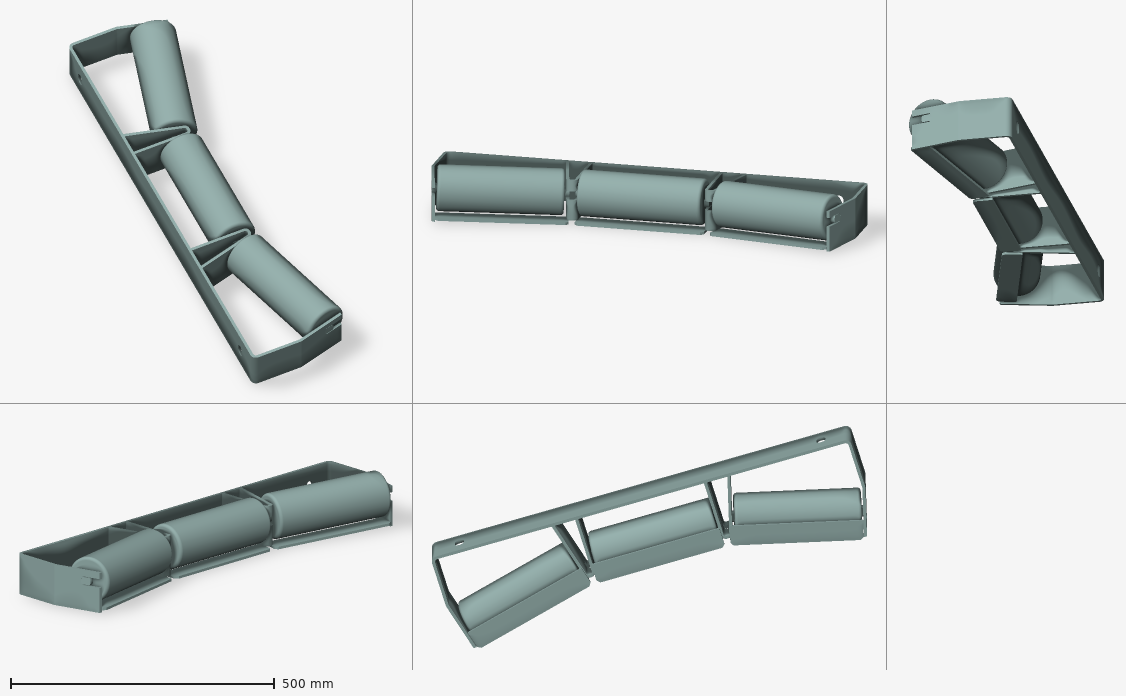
import cadquery as cq
import math

frame_length = 830.0
strip_height = 80.0
sheet = 6.0
frame_bend_radius = 12.0
arm_tip_y = 197.5
trough_angle = 15.0

arm_gap = 249.0
roller_length = 241.5
roller_radius = 44.4
roller_end_fillet = 6.0
axle_radius = 11.0
axle_flats = 14.0

centre_axis_y = 100.0
axis_height = 49.0
outer_axis_rise = 9.0
pivot_x = 151.0
pivot_y = 102.0

bracket_top_y = 125.0
bracket_bend_radius = 10.0
slot_width = 17.5

plate_thickness = 5.0
plate_width = 39.0
plate_overhang = 2.1
plate_chamfer = 6.0
outer_plate_shift = 4.0

mount_slot_x = 358.0
mount_slot_width = 17.5
mount_slot_height = 25.0

angle = math.radians(trough_angle)
toe_angle = math.degrees(math.asin(outer_axis_rise / arm_gap))
slant_sheet = sheet / math.cos(angle)
axle_length = arm_gap + 2 * sheet
frame_end = frame_length / 2
outer_arm_inner_x = pivot_x + arm_gap * math.cos(angle)
outer_arm_axis_y = pivot_y + arm_gap * math.sin(angle)


def outer_arm_x(y):
    """Outer face of the slanted end arm of the frame."""
    return outer_arm_inner_x + slant_sheet - (y - outer_arm_axis_y) * math.tan(angle)


def bracket_arm_x(y):
    """Roller side of the slanted bracket arm."""
    return pivot_x - (y - pivot_y) * math.tan(angle)


def nearest(point):
    return cq.selectors.NearestToPointSelector(point)


def mirrored(body):
    return body.mirror("YZ")


def place_centre(body):
    return body.translate((0, centre_axis_y, axis_height))


def place_right(body):
    """Move a body built along X about the origin onto the axis of the right-hand outer roller."""
    inner_end_at_origin = body.translate((arm_gap / 2, 0, 0))
    raised = inner_end_at_origin.rotate((0, 0, 0), (0, 1, 0), -toe_angle)
    turned = raised.rotate((0, 0, 0), (0, 0, 1), trough_angle)
    return turned.translate((pivot_x, pivot_y, axis_height))


def place_left(body):
    return mirrored(place_right(body))


stations = [place_left, place_centre, place_right]


def x_cylinder(radius, length):
    """Cylinder along X, centred on the origin."""
    return cq.Workplane("YZ", origin=(-length / 2, 0, 0)).circle(radius).extrude(length)


def make_roller():
    """Roller with its flatted axle, along X about the origin."""
    shell = x_cylinder(roller_radius, roller_length)
    shell = shell.edges("%CIRCLE").fillet(roller_end_fillet)
    axle = x_cylinder(axle_radius, axle_length)
    flats = cq.Workplane("XY").box(axle_length, 2 * axle_radius, axle_flats)
    return shell.union(axle.intersect(flats))


def make_plate():
    """Flat plate hung below the rear half of a roller, with its two rear corners cut off."""
    length = arm_gap + 2 * plate_overhang
    plate = cq.Workplane("XY", origin=(0, 0, -axis_height)).center(0, plate_width / 2)
    plate = plate.rect(length, plate_width).extrude(-plate_thickness)
    return plate.edges("|Z and >Y").chamfer(plate_chamfer)


def make_axle_slots():
    """Pair of slots, one per arm, rounded around the axle and open toward +Y."""
    reach = 2 * roller_radius
    cutter_length = 4 * sheet
    channel = cq.Workplane("XY").box(cutter_length, reach, slot_width).translate((0, reach / 2, 0))
    seat = x_cylinder(axle_radius, cutter_length)
    seat = seat.intersect(cq.Workplane("XY").box(cutter_length, 2 * axle_radius, slot_width))
    slot = channel.union(seat)
    offset = (arm_gap + sheet) / 2
    return slot.translate((-offset, 0, 0)).union(slot.translate((offset, 0, 0)))


def make_frame():
    """Strip bent up at both ends into arms whose tips lean inward."""
    kink_y = outer_arm_axis_y + (outer_arm_inner_x + slant_sheet - frame_end) / math.tan(angle)
    inner_kink_y = kink_y - sheet * math.tan(angle / 2)
    half_outline = [
        (0, 0),
        (frame_end, 0),
        (frame_end, kink_y),
        (outer_arm_x(arm_tip_y), arm_tip_y),
        (outer_arm_x(arm_tip_y) - slant_sheet, arm_tip_y),
        (frame_end - sheet, inner_kink_y),
        (frame_end - sheet, sheet),
        (0, sheet),
    ]
    half = cq.Workplane("XY").polyline(half_outline).close().extrude(strip_height)
    middle = strip_height / 2
    for outer_bend in [(frame_end, 0, middle), (frame_end, kink_y, middle)]:
        half = half.edges(nearest(outer_bend)).fillet(frame_bend_radius)
    inner_x = frame_end - sheet
    for inner_bend in [(inner_x, sheet, middle), (inner_x, inner_kink_y, middle)]:
        half = half.edges(nearest(inner_bend)).fillet(frame_bend_radius - sheet)
    frame = half.union(mirrored(half))

    mount_slots = (
        cq.Workplane("XZ", origin=(0, 0, strip_height / 2))
        .pushPoints([(-mount_slot_x, 0), (mount_slot_x, 0)])
        .slot2D(mount_slot_height, mount_slot_width, 90)
        .extrude(-sheet)
    )
    return frame.cut(mount_slots)


def make_bracket():
    """Right-hand bracket: an upright arm and a slanted arm joined by a web at the top."""
    upright_x = arm_gap / 2
    web_y = bracket_top_y - sheet
    outline = [
        (upright_x, sheet),
        (upright_x, bracket_top_y),
        (bracket_arm_x(bracket_top_y), bracket_top_y),
        (bracket_arm_x(sheet), sheet),
        (bracket_arm_x(sheet) - slant_sheet, sheet),
        (bracket_arm_x(web_y) - slant_sheet, web_y),
        (upright_x + sheet, web_y),
        (upright_x + sheet, sheet),
    ]
    bracket = cq.Workplane("XY").polyline(outline).close().extrude(strip_height)
    bracket = bracket.edges("|Z and >Y").fillet(bracket_bend_radius)
    middle = strip_height / 2
    for inner_x in [upright_x + sheet, bracket_arm_x(web_y) - slant_sheet]:
        bracket = bracket.edges(nearest((inner_x, web_y, middle))).fillet(bracket_bend_radius - sheet)
    return bracket


rollers = [place(make_roller()) for place in stations]
outer_plate = make_plate().translate((-outer_plate_shift, 0, 0))
plates = [place_left(outer_plate), place_centre(make_plate()), place_right(outer_plate)]
frame = make_frame()
brackets = [make_bracket(), mirrored(make_bracket())]

for place in stations:
    axle_slots = place(make_axle_slots())
    frame = frame.cut(axle_slots)
    brackets = [bracket.cut(axle_slots) for bracket in brackets]

bodies = [frame, *brackets, *rollers, *plates]
result = cq.Compound.makeCompound([body.val() for body in bodies])